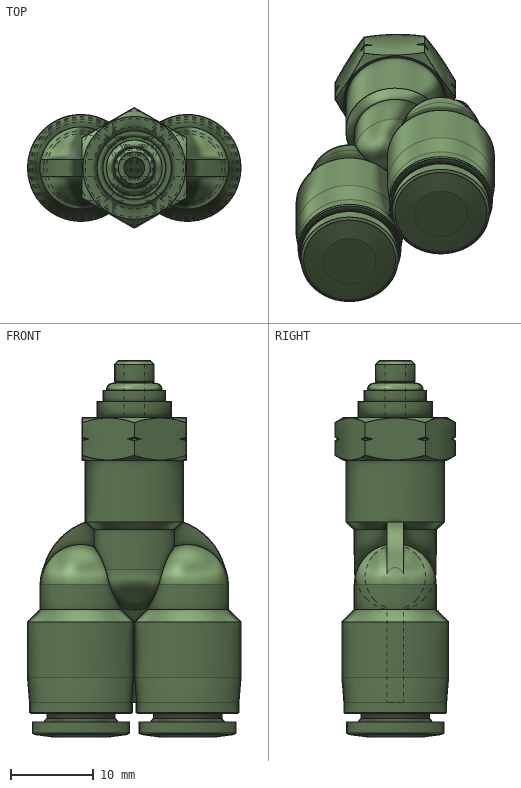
import cadquery as cq
import math

total_height = 45.8
leg_offset = 6.48
branch_radius = 5.0
dome_center_stem = 20.4
dome_center_leg = 18.55

body_radius = 6.0
body_bottom = 26.2
stem_top = 25.25
hex_bottom = 33.65
hex_top = 38.9
shoulder_radius = 4.51
shoulder_top = 40.8
collar_radius = 3.8
collar_top = 42.2
ring_radius = 3.4
ring_top = 43.05
ring_rounding = 0.82
tip_radius = 2.405
tip_end_radius = 1.945
tip_bottom = 43.25
tip_chamfer = 0.45
bore_diameter = 2.5
bore_depth = total_height - hex_top

hex_corner_diameter = 14.65
hex_corner_radius = hex_corner_diameter / 2
hex_face_radius = 6.25
hex_chamfer_angle = 30.0
notch_depth = 0.4
notch_height = 0.45

leg_radius = 6.5
leg_shoulder_top = 15.53
leg_shoulder_bottom = 14.0
taper_top = 7.25
taper_bottom = 4.2
taper_radius = 6.25
leg_bottom = 2.9
edge_break = 0.15
release_neck_radius = 4.15
release_flare_radius = 4.51
release_flare_top = 2.3
release_top = 1.9
release_radius = 5.9
release_rim = 0.5
release_lower_radius = 5.6
release_lower_edge = 0.3
release_face_radius = 3.185

web_thickness = 2.05
web_inset = 0.2
web_half_width = leg_offset + branch_radius - web_inset
web_arc_radius = 8.1


def revolve_profile(points):
    """Turn a closed (radius, height) outline around the Z axis."""
    return cq.Workplane("XZ").polyline(points).close().revolve(360, (0, 0, 0), (0, 1, 0))


def cylinder(radius, bottom, top):
    return cq.Workplane("XY").workplane(offset=bottom).circle(radius).extrude(top - bottom)


def domed_bar(bottom, dome_center, top):
    """Round bar from bottom to top with a ball centred at dome_center."""
    ball = cq.Workplane("XY").sphere(branch_radius).translate((0, 0, dome_center))
    return cylinder(branch_radius, bottom, top).union(ball)


def make_hexagon():
    height = hex_top - hex_bottom
    middle = (hex_top + hex_bottom) / 2
    prism = cq.Workplane("XY").workplane(offset=hex_bottom).polygon(6, hex_corner_diameter).extrude(height)
    prism = prism.rotate((0, 0, 0), (0, 0, 1), 90)
    chamfer_drop = (hex_corner_radius - hex_face_radius) * math.tan(math.radians(hex_chamfer_angle))
    envelope = revolve_profile([
        (0, hex_bottom),
        (hex_face_radius, hex_bottom),
        (hex_corner_radius, hex_bottom + chamfer_drop),
        (hex_corner_radius, middle - notch_height / 2),
        (hex_corner_radius - notch_depth, middle),
        (hex_corner_radius, middle + notch_height / 2),
        (hex_corner_radius, hex_top - chamfer_drop),
        (hex_face_radius, hex_top),
        (0, hex_top),
    ])
    return prism.intersect(envelope)


def make_stem():
    lower = domed_bar(dome_center_stem, dome_center_stem, stem_top)
    body = revolve_profile([
        (0, stem_top),
        (branch_radius, stem_top),
        (body_radius, body_bottom),
        (body_radius, hex_bottom),
        (0, hex_bottom),
    ])
    shoulder = cylinder(shoulder_radius, hex_top, shoulder_top)
    collar = cylinder(collar_radius, shoulder_top, collar_top)
    ring = cylinder(ring_radius, collar_top, ring_top).faces(">Z").edges().fillet(ring_rounding)
    tip = revolve_profile([
        (0, ring_top),
        (tip_radius - (tip_bottom - ring_top), ring_top),
        (tip_radius, tip_bottom),
        (tip_radius, total_height - tip_chamfer),
        (tip_end_radius, total_height),
        (0, total_height),
    ])
    stem = lower
    for section in (body, make_hexagon(), shoulder, collar, ring, tip):
        stem = stem.union(section)
    return stem


def make_leg():
    socket = revolve_profile([
        (0, 0),
        (release_face_radius, 0),
        (release_lower_radius, release_lower_edge),
        (release_radius, release_rim),
        (release_radius, release_top),
        (release_flare_radius, release_top),
        (release_neck_radius, release_flare_top),
        (release_neck_radius, leg_bottom),
        (taper_radius - edge_break, leg_bottom),
        (taper_radius, leg_bottom + edge_break),
        (taper_radius, taper_bottom),
        (leg_radius, taper_top),
        (leg_radius, leg_shoulder_bottom),
        (branch_radius, leg_shoulder_top),
        (0, leg_shoulder_top),
    ])
    return socket.union(domed_bar(leg_shoulder_top, dome_center_leg, dome_center_leg))


def make_web():
    arc_center = web_half_width - web_arc_radius
    end_x = arc_center + math.sqrt(web_arc_radius**2 - (body_bottom - dome_center_leg)**2)
    mid_angle = math.atan2(body_bottom - dome_center_leg, end_x - arc_center) / 2
    mid_x = arc_center + web_arc_radius * math.cos(mid_angle)
    mid_z = dome_center_leg + web_arc_radius * math.sin(mid_angle)
    return (
        cq.Workplane("XZ")
        .moveTo(-leg_offset, taper_bottom)
        .lineTo(leg_offset, taper_bottom)
        .lineTo(leg_offset, dome_center_leg)
        .lineTo(web_half_width, dome_center_leg)
        .threePointArc((mid_x, mid_z), (end_x, body_bottom))
        .lineTo(-end_x, body_bottom)
        .threePointArc((-mid_x, mid_z), (-web_half_width, dome_center_leg))
        .lineTo(-leg_offset, dome_center_leg)
        .close()
        .extrude(web_thickness / 2, both=True)
    )


result = make_stem().union(make_web())
for side in (-1, 1):
    result = result.union(make_leg().translate((side * leg_offset, 0, 0)))
result = result.cut(cylinder(bore_diameter / 2, total_height - bore_depth, total_height))